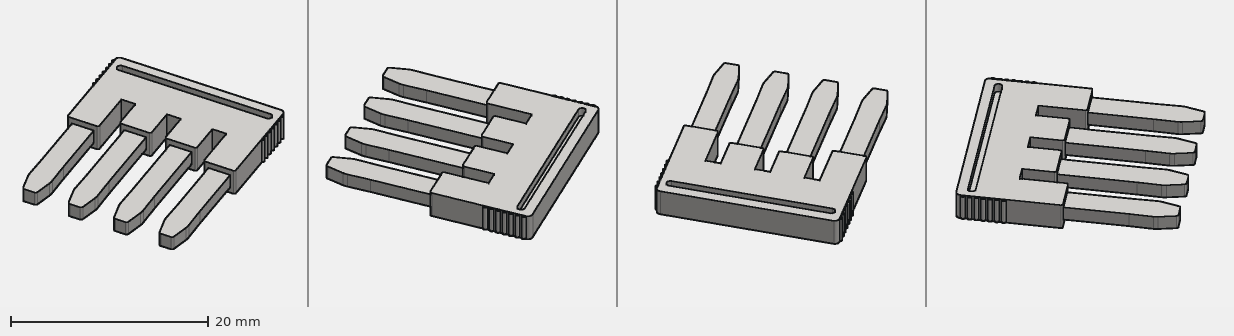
import cadquery as cq


leg_count = 4
leg_pitch = 5.2
leg_width = 3.6
thickness = 3.0
total_length = 22.7
total_width = 19.61
body_width = (leg_count - 1) * leg_pitch + leg_width

bridge_length = 6.0
inner_leg_length = 9.5
outer_leg_length = 11.0
back_corner_radius = 0.5
leg_corner_radius = 0.2

slot_length = 17.7
slot_width = 0.8
slot_depth = 1.0
slot_center_from_back = 1.5

rib_count = 7
rib_pitch = 0.7
rib_radius = 0.25
rib_height = 2.86
first_rib_from_back = 0.75

prong_thickness = 1.6
prong_root_width = 2.5
prong_full_width = 2.6
prong_tip_width = 1.55
flare_start_from_tip = 5.0
taper_length = 2.25
taper_blend_radius = 2.0
tip_radius = 0.25

shoulder_reach = 0.4

back_y = total_length / 2
tip_y = -total_length / 2
bridge_front_y = back_y - bridge_length


def leg_center_x(index):
    return (index - (leg_count - 1) / 2) * leg_pitch


def leg_length(index):
    is_outer = index in (0, leg_count - 1)
    return outer_leg_length if is_outer else inner_leg_length


def block(width, front_y, rear_y, height):
    """Box centred on X and Z that spans front_y to rear_y."""
    return (
        cq.Workplane("XY")
        .box(width, rear_y - front_y, height)
        .translate((0, (front_y + rear_y) / 2, 0))
    )


def make_bridge():
    bridge = block(body_width, bridge_front_y, back_y, thickness)
    return bridge.edges("|Z and >Y").fillet(back_corner_radius)


def make_leg(index):
    rear_y = bridge_front_y + bridge_length / 2
    leg = block(leg_width, back_y - leg_length(index), rear_y, thickness)
    leg = leg.edges("|Z and <Y").fillet(leg_corner_radius)
    return leg.translate((leg_center_x(index), 0, 0))


def make_prong(index):
    root_half = prong_root_width / 2
    full_half = prong_full_width / 2
    tip_half = prong_tip_width / 2
    taper_y = tip_y + taper_length
    flare_y = tip_y + flare_start_from_tip

    right_side = [
        (root_half, bridge_front_y),
        (root_half, flare_y),
        (full_half, taper_y),
        (tip_half, tip_y),
    ]
    left_side = [(-x, y) for x, y in reversed(right_side)]
    prong = (
        cq.Workplane("XY")
        .polyline(right_side + left_side)
        .close()
        .extrude(prong_thickness / 2, both=True)
    )
    prong = prong.edges("|Z and <Y").fillet(tip_radius)

    for side in (-1, 1):
        shoulder = cq.selectors.BoxSelector(
            (side * full_half - shoulder_reach, taper_y - shoulder_reach, -thickness),
            (side * full_half + shoulder_reach, taper_y + shoulder_reach, thickness),
        )
        prong = prong.edges("|Z").edges(shoulder).fillet(taper_blend_radius)
    return prong.translate((leg_center_x(index), 0, 0))


def make_ribs():
    rib_x = total_width / 2 - rib_radius
    first_y = back_y - first_rib_from_back
    centers = [
        (side * rib_x, first_y - step * rib_pitch)
        for side in (-1, 1)
        for step in range(rib_count)
    ]
    return (
        cq.Workplane("XY")
        .pushPoints(centers)
        .circle(rib_radius)
        .extrude(rib_height / 2, both=True)
    )


def make_slot():
    return (
        cq.Workplane("XY", origin=(0, back_y - slot_center_from_back, thickness / 2))
        .slot2D(slot_length, slot_width)
        .extrude(-slot_depth)
    )


part = make_bridge()
for leg_index in range(leg_count):
    part = part.union(make_leg(leg_index))
    part = part.union(make_prong(leg_index))
part = part.union(make_ribs())
result = part.cut(make_slot())